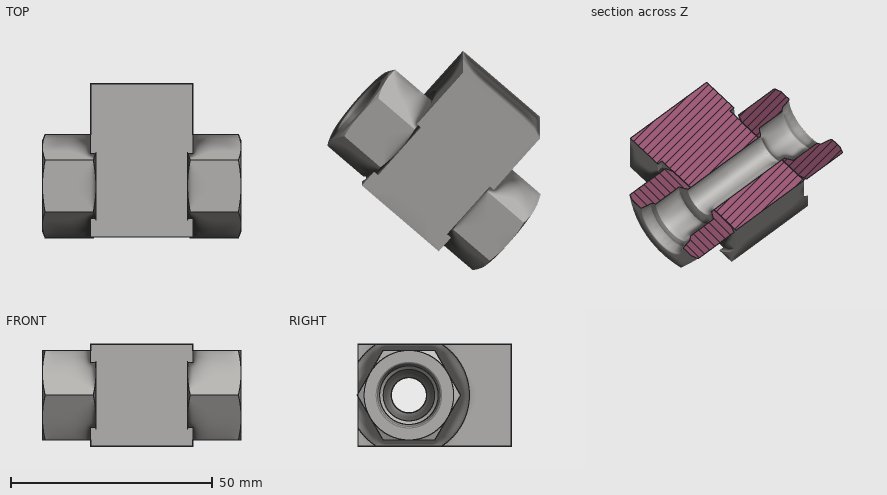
import cadquery as cq
import math

block_width = 25.4
block_length = 38.1
block_front = -block_width / 2

seat_diameter = 30.05
seat_depth = 1.35

overall_length = 49.3
hex_across_flats = 22.23
hex_sides = 6
hex_across_corners = hex_across_flats / math.cos(math.pi / hex_sides)
hex_inner_x = block_width / 2 - seat_depth
hex_length = overall_length / 2 - hex_inner_x
corner_chamfer_angle = 21.0

mouth_diameter = 16.25
mouth_round = 0.35
thread_relief_diameter = 14.55
thread_relief_length = 0.1
thread_diameter = 12.75
passage_diameter = 8.7
cone_half_angle = 12.0
thread_lead_in_half_angle = 45.0
thread_end_depth = 11.35
drill_half_angle = 59.0


def taper_length(large_diameter, small_diameter, half_angle):
    """Axial length of a cone between two diameters."""
    return (large_diameter - small_diameter) / 2 / math.tan(math.radians(half_angle))


def make_block():
    """Block with the through passage and a round seat on each port side."""
    block = (
        cq.Workplane("XY")
        .box(block_width, block_length, block_width)
        .translate((0, block_front + block_length / 2, 0))
    )
    passage = cq.Workplane("YZ").circle(passage_diameter / 2).extrude(block_width / 2, both=True)
    block = block.cut(passage)
    for side in (-1, 1):
        seat = (
            cq.Workplane("YZ", origin=(side * hex_inner_x, 0, 0))
            .circle(seat_diameter / 2)
            .extrude(side * seat_depth)
        )
        block = block.cut(seat)
    return block


def make_hex_envelope():
    """Turned outline that rounds off the six corners at both ends of the hex."""
    face_radius = hex_across_flats / 2
    corner_radius = hex_across_corners / 2
    chamfer_length = (corner_radius - face_radius) * math.tan(math.radians(corner_chamfer_angle))
    return (
        cq.Workplane("XY")
        .moveTo(0, 0)
        .lineTo(0, face_radius)
        .lineTo(chamfer_length, corner_radius)
        .lineTo(hex_length - chamfer_length, corner_radius)
        .lineTo(hex_length, face_radius)
        .lineTo(hex_length, 0)
        .close()
        .revolve(360, (0, 0, 0), (1, 0, 0))
    )


def round_point(slope):
    """Depth and radius of the point on the mouth round where its surface slopes inward by this angle."""
    depth = mouth_round * (1 - math.sin(slope))
    radius = mouth_diameter / 2 - mouth_round * math.cos(slope)
    return depth, radius


def make_port_bore():
    """Stepped bore with its mouth at X = 0, running toward +X."""
    cone_angle = math.radians(cone_half_angle)
    middle_angle = (cone_angle + math.pi / 2) / 2
    cone_start, cone_radius = round_point(cone_angle)
    cone_end = cone_start + taper_length(2 * cone_radius, thread_relief_diameter, cone_half_angle)
    relief_end = cone_end + thread_relief_length
    lead_in_length = taper_length(thread_relief_diameter, thread_diameter, thread_lead_in_half_angle)
    thread_start = relief_end + lead_in_length
    drill_end = thread_end_depth + taper_length(thread_diameter, passage_diameter, drill_half_angle)
    return (
        cq.Workplane("XY")
        .moveTo(0, 0)
        .lineTo(0, mouth_diameter / 2)
        .threePointArc(round_point(middle_angle), (cone_start, cone_radius))
        .lineTo(cone_end, thread_relief_diameter / 2)
        .lineTo(relief_end, thread_relief_diameter / 2)
        .lineTo(thread_start, thread_diameter / 2)
        .lineTo(thread_end_depth, thread_diameter / 2)
        .lineTo(drill_end, passage_diameter / 2)
        .lineTo(hex_length, passage_diameter / 2)
        .lineTo(hex_length, 0)
        .close()
        .revolve(360, (0, 0, 0), (1, 0, 0))
    )


def make_fitting(turn):
    """Hex port fitting, placed on the -X side and then turned about Z."""
    fitting = (
        cq.Workplane("YZ")
        .polygon(hex_sides, hex_across_corners)
        .extrude(hex_length)
        .intersect(make_hex_envelope())
        .cut(make_port_bore())
    )
    return fitting.translate((-overall_length / 2, 0, 0)).rotate((0, 0, 0), (0, 0, 1), turn)


block = make_block()
fittings = [make_fitting(turn) for turn in (0, 180)]

result = cq.Compound.makeCompound([block.val(), *[fitting.val() for fitting in fittings]])